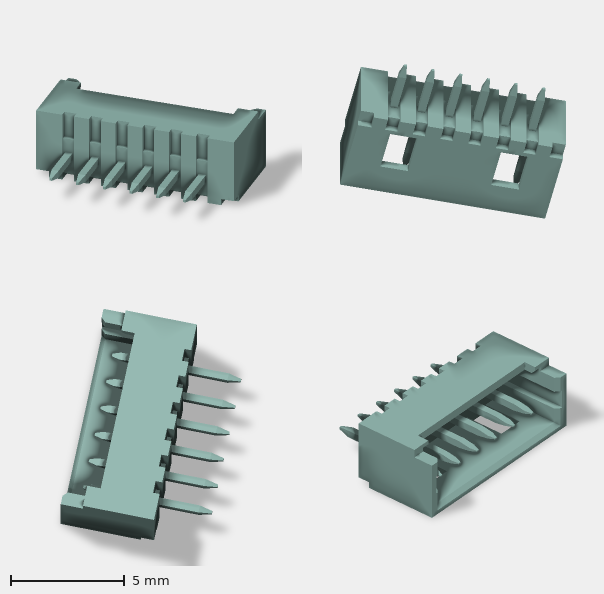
import cadquery as cq

length = 9.25
depth = 4.2
height = 3.2

pin_count = 6
pitch = 1.25
pin_width = 0.33
pin_height = 0.35
pin_z = 1.15
pin_positions = [(i - (pin_count - 1) / 2) * pitch for i in range(pin_count)]

tail_length = 2.3
tail_taper = 0.58
tail_tip = 0.12

mating_tip_y = 3.5
mating_height_taper = 0.92
mating_width_taper = 0.35
mating_tip_width = 0.12
mating_tip_height = 0.05

end_wall = 0.6
floor_thickness = 0.4
ceiling_thickness = 0.4
front_wall = 0.8
mouth_chamfer = 0.2
cavity_length = length - 2 * end_wall
cavity_top = height - ceiling_thickness
cavity_height = cavity_top - floor_thickness

roof_step = 1.0
roof_y = depth - roof_step
roof_notch_y = 2.6
roof_notch_length = 7.35

groove_height = 0.9
groove_depth = 0.3

window_back_y = 2.77

slot_width = 0.55
slot_depth = 0.3
pad_setback = 0.1
pad_bottom = 0.3
pad_top = 2.0

relief_size = 0.6
relief_height = pad_bottom


def block(x_size, x_center, y_min, y_max, z_min, z_max):
    """Box centred on x_center and spanning the given Y and Z ranges."""
    box = cq.Workplane("XY").box(x_size, y_max - y_min, z_max - z_min, centered=(True, False, False))
    return box.translate((x_center, y_min, z_min))


def mouth_flare(mouth_y):
    """Frustum that widens the cavity by the chamfer on all four sides at mouth_y."""
    center_z = floor_thickness + cavity_height / 2
    return (
        cq.Workplane("XZ", origin=(0, mouth_y, center_z))
        .rect(cavity_length + 2 * mouth_chamfer, cavity_height + 2 * mouth_chamfer)
        .workplane(offset=mouth_chamfer)
        .rect(cavity_length, cavity_height)
        .loft(ruled=True)
    )


def roof_flare():
    """Bevel on the underside of the roof edge, which is set back from the mouth."""
    return (
        cq.Workplane("YZ", origin=(-cavity_length / 2, 0, 0))
        .moveTo(roof_y - mouth_chamfer, cavity_top)
        .lineTo(roof_y, cavity_top + mouth_chamfer)
        .lineTo(roof_y, cavity_top)
        .close()
        .extrude(cavity_length)
    )


def cut_cavity(body):
    body = body.cut(block(length, 0, roof_y, depth, cavity_top, height))
    body = body.cut(block(cavity_length, 0, front_wall, depth, floor_thickness, cavity_top))
    body = body.cut(mouth_flare(depth)).cut(roof_flare())
    return body.cut(block(roof_notch_length, 0, roof_notch_y, depth, cavity_top, height))


def cut_grooves(body):
    groove_bottom = (height - groove_height) / 2
    groove_top = groove_bottom + groove_height
    groove_span = cavity_length + 2 * groove_depth
    return body.cut(block(groove_span, 0, front_wall, depth, groove_bottom, groove_top))


def cut_windows(body):
    window_x = pin_positions[-1] - pitch / 2
    for x in (-window_x, window_x):
        body = body.cut(block(pitch, x, front_wall, window_back_y, 0, floor_thickness))
    return body


def cut_solder_face(body):
    for x in pin_positions:
        body = body.cut(block(slot_width, x, 0, slot_depth, 0, height))
        body = body.cut(block(slot_width, x, 0, relief_size, 0, relief_height))
        body = body.union(block(slot_width, x, pad_setback, slot_depth, pad_bottom, pad_top))
    corner_x = (length - relief_size) / 2
    for x in (-corner_x, corner_x):
        body = body.cut(block(relief_size, x, 0, relief_size, 0, relief_height))
    return body


def pin_profile(plane, size, mating_taper, mating_tip):
    """Pin outline in a plane containing its axis, extruded symmetrically past its other width."""
    half = size / 2
    stations = [
        (-tail_length, tail_tip / 2),
        (tail_taper - tail_length, half),
        (mating_tip_y - mating_taper, half),
        (mating_tip_y, mating_tip / 2),
    ]
    near_side = [(y, -w) for y, w in stations]
    far_side = [(y, w) for y, w in reversed(stations)]
    outline = near_side + far_side
    if plane == "XY":
        outline = [(w, y) for y, w in outline]
    return cq.Workplane(plane).polyline(outline).close().extrude(max(pin_width, pin_height), both=True)


def make_pin():
    plan = pin_profile("XY", pin_width, mating_width_taper, mating_tip_width)
    side = pin_profile("YZ", pin_height, mating_height_taper, mating_tip_height)
    return plan.intersect(side).translate((0, 0, pin_z))


def make_header():
    body = block(length, 0, 0, depth, 0, height)
    body = cut_cavity(body)
    body = cut_grooves(body)
    body = cut_windows(body)
    body = cut_solder_face(body)
    pin = make_pin()
    for x in pin_positions:
        body = body.union(pin.translate((x, 0, 0)))
    return body


result = make_header()